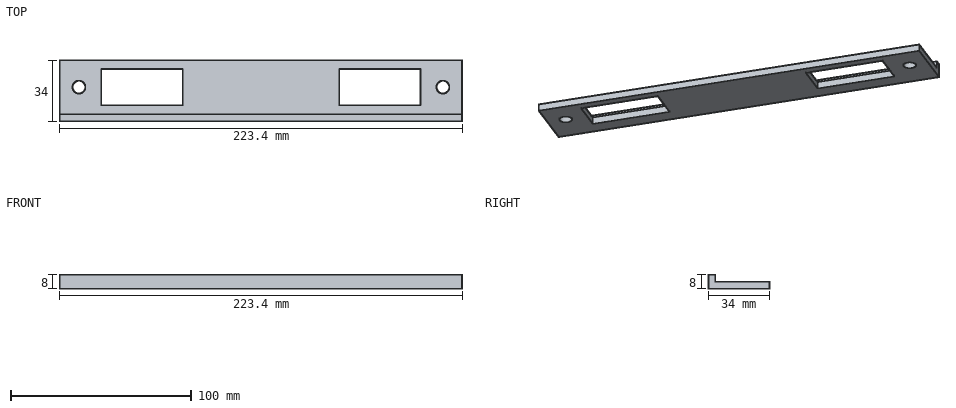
import cadquery as cq

length = 223.4
width = 34.0
height = 8.0
plate_thickness = 4.0
lip_thickness = 4.0

flat_centre_y = lip_thickness / 2

window_length = 45.0
window_width = 20.0
window_end_margin = 23.2
window_centre_x = length / 2 - window_end_margin - window_length / 2

hole_diameter = 7.0
hole_spacing = 202.0


def make_body():
    """L-shaped section extruded along X, centred on X and Y, base at Z = 0."""
    front_y = -width / 2
    back_y = width / 2
    lip_back_y = front_y + lip_thickness
    section = [
        (front_y, 0),
        (back_y, 0),
        (back_y, plate_thickness),
        (lip_back_y, plate_thickness),
        (lip_back_y, height),
        (front_y, height),
    ]
    return cq.Workplane("YZ").polyline(section).close().extrude(length / 2, both=True)


def make_windows():
    """Cutters for the two through windows."""
    centres = [(side * window_centre_x, flat_centre_y) for side in (-1, 1)]
    return cq.Workplane("XY").pushPoints(centres).rect(window_length, window_width).extrude(plate_thickness)


def make_holes():
    """Cutters for the two through screw holes."""
    centres = [(side * hole_spacing / 2, flat_centre_y) for side in (-1, 1)]
    return cq.Workplane("XY").pushPoints(centres).circle(hole_diameter / 2).extrude(plate_thickness)


result = make_body().cut(make_windows()).cut(make_holes())